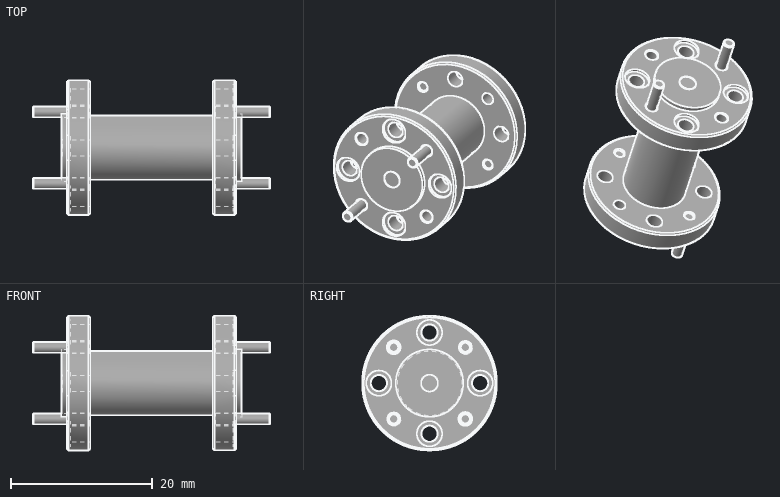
import cadquery as cq
import math

pin_span = 33.53
body_length = 25.4
pilot_height = 0.76
flange_spacing = body_length - 2 * pilot_height

flange_diameter = 19.05
flange_thickness = 3.3
flange_chamfer = 0.254
tube_diameter = 9.1
pilot_diameter = 9.525

bore_diameter = 2.39
bore_depth = 0.12

bolt_circle_radius = 14.2875 / 2
screw_hole_diameter = 2.26
counterbore_diameter = 3.56
counterbore_depth = 0.5
mating_hole_diameter = 1.7
dowel_hole_chamfer = 0.127

pin_diameter = 1.56
pin_chamfer = 0.15
pin_recess = 0.2

outer_face = flange_spacing / 2
inner_face = outer_face - flange_thickness
pin_tip = pin_span / 2
pin_seat = inner_face + pin_recess
pin_length = pin_tip - pin_seat

screw_angles = range(0, 360, 90)
diagonals = {1: [45, 225], -1: [135, 315]}


def bolt_circle_point(x, angle):
    y = bolt_circle_radius * math.cos(math.radians(angle))
    z = bolt_circle_radius * math.sin(math.radians(angle))
    return cq.Vector(x, y, z)


def cylinder(side, start, length, diameter, angle=None):
    """Cylinder along X on one side (+1 or -1), on the axis or at an angle on the bolt circle."""
    if angle is None:
        base = cq.Vector(side * start, 0, 0)
    else:
        base = bolt_circle_point(side * start, angle)
    solid = cq.Solid.makeCylinder(diameter / 2, length, base, cq.Vector(side, 0, 0))
    return cq.Workplane(obj=solid)


def make_flange(side):
    """Chamfered flange disc with the raised pilot on its outer face."""
    disc = cylinder(side, inner_face, flange_thickness, flange_diameter)
    disc = disc.edges("%CIRCLE").chamfer(flange_chamfer)
    pilot = cylinder(side, inner_face, flange_thickness + pilot_height, pilot_diameter)
    return disc.union(pilot)


def cut_screw_holes(body, side):
    """Through holes counterbored from the outer face."""
    for angle in screw_angles:
        hole = cylinder(side, inner_face, flange_thickness, screw_hole_diameter, angle)
        recess = cylinder(
            side, outer_face - counterbore_depth, counterbore_depth, counterbore_diameter, angle
        )
        body = body.cut(hole).cut(recess)
    return body


def dowel_hole(side, diameter, angle):
    """Cutter for a through hole with a small chamfer at the outer face of the flange."""
    hole = cylinder(side, inner_face, flange_thickness, diameter, angle)
    mouth_diameter = diameter + 2 * dowel_hole_chamfer
    mouth = cq.Solid.makeCone(
        diameter / 2,
        mouth_diameter / 2,
        dowel_hole_chamfer,
        bolt_circle_point(side * (outer_face - dowel_hole_chamfer), angle),
        cq.Vector(side, 0, 0),
    )
    return hole.union(cq.Workplane(obj=mouth))


def cut_dowel_holes(body, side):
    """Tight holes for this end's pins and clearance holes for the mating part's pins."""
    for angle in diagonals[side]:
        body = body.cut(dowel_hole(side, pin_diameter, angle))
    for angle in diagonals[-side]:
        body = body.cut(dowel_hole(side, mating_hole_diameter, angle))
    return body


def make_body():
    """Tube with a drilled flange at each end."""
    body = cylinder(1, -inner_face, 2 * inner_face, tube_diameter)
    for side in diagonals:
        body = body.union(make_flange(side))
        body = cut_screw_holes(body, side)
        body = cut_dowel_holes(body, side)
        body = body.cut(cylinder(side, body_length / 2 - bore_depth, bore_depth, bore_diameter))
    return body


def make_pin(side, angle):
    """Dowel pin chamfered at both ends, its inner end just below the inner flange face."""
    pin = cylinder(side, pin_seat, pin_length, pin_diameter, angle)
    return pin.edges("%CIRCLE").chamfer(pin_chamfer)


body = make_body()
pins = [make_pin(side, angle) for side in diagonals for angle in diagonals[side]]

result = cq.Compound.makeCompound([body.val(), *[pin.val() for pin in pins]])